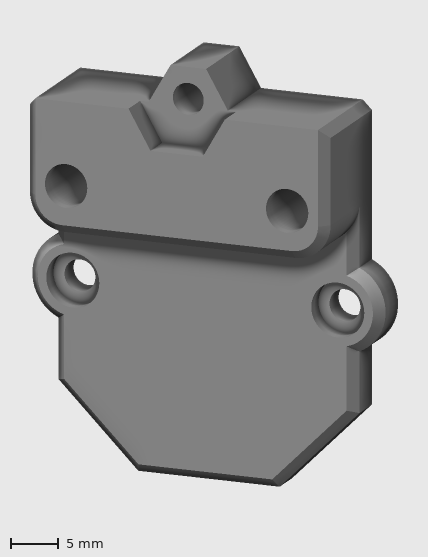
import cadquery as cq
import math

total_height = 46.5
plate_depth = 4.5
block_depth = 12.5
half_width = 17.0
edge_chamfer = 1.0

bottom_half_width = 8.0
taper_height = half_width - bottom_half_width

block_top = 42.2
block_bottom = 27.65
block_corner_radius = 4.0
block_hole_diameter = 4.8
block_hole_x = 12.5
block_hole_z = 33

ear_x = 14.995
ear_z = 20.3
ear_diameter = 10.0
screw_diameter = 3.5
counterbore_diameter = 6.0
counterbore_depth = 2.0

lug_depth = 9.25
lug_hole_z = 43.0
lug_apothem = total_height - lug_hole_z
pocket_apothem = 5.1
hexagon_slope = math.tan(math.radians(30))


def front_plane(depth=0):
    """Sketch plane at a given depth; sketches on it extrude toward -Y."""
    return cq.Workplane("XZ", origin=(0, -depth, 0))


def make_plate():
    outline = [
        (-bottom_half_width, 0),
        (bottom_half_width, 0),
        (half_width, taper_height),
        (half_width, block_hole_z),
        (-half_width, block_hole_z),
        (-half_width, taper_height),
    ]
    plate = front_plane().polyline(outline).close().extrude(plate_depth)
    return plate.faces("<Y").edges("not >Z").chamfer(edge_chamfer)


def make_block():
    block_height = block_top - block_bottom
    block = (
        front_plane()
        .center(0, block_bottom + block_height / 2)
        .rect(2 * half_width, block_height)
        .extrude(block_depth)
    )
    block = block.edges("|Y and <Z").fillet(block_corner_radius)
    block = block.faces("<Y").edges("not >Z").chamfer(edge_chamfer)
    for side in (-1, 1):
        corner = [
            (side * half_width, block_top),
            (side * (half_width - edge_chamfer), block_top),
            (side * half_width, block_top - edge_chamfer),
        ]
        block = block.cut(front_plane().polyline(corner).close().extrude(block_depth))
    return block


def make_ears():
    ears = front_plane().pushPoints(ear_points).circle(ear_diameter / 2).extrude(plate_depth)
    return ears.faces("<Y").edges().chamfer(edge_chamfer)


def make_lug():
    """Lug whose sides keep the hexagon slope down into the block."""
    lug_base = block_top - edge_chamfer
    top_half = lug_apothem * hexagon_slope
    base_half = top_half + (total_height - lug_base) * hexagon_slope
    outline = [
        (-base_half, lug_base),
        (base_half, lug_base),
        (top_half, total_height),
        (-top_half, total_height),
    ]
    return front_plane().polyline(outline).close().extrude(lug_depth)


def make_pocket():
    corner_diameter = 2 * pocket_apothem / math.cos(math.radians(30))
    plane = front_plane(lug_depth).center(0, lug_hole_z)
    return plane.polygon(6, corner_diameter).extrude(block_depth - lug_depth)


def make_holes(points, diameter, start_depth=0):
    plane = front_plane(start_depth).pushPoints(points)
    return plane.circle(diameter / 2).extrude(block_depth - start_depth)


ear_points = [(-ear_x, ear_z), (ear_x, ear_z)]
block_hole_points = [(-block_hole_x, block_hole_z), (block_hole_x, block_hole_z)]

result = make_plate().union(make_block()).union(make_ears()).union(make_lug())
result = result.cut(make_pocket())
result = result.cut(make_holes(block_hole_points, block_hole_diameter))
result = result.cut(make_holes(ear_points + [(0, lug_hole_z)], screw_diameter))
result = result.cut(make_holes(ear_points, counterbore_diameter, plate_depth - counterbore_depth))